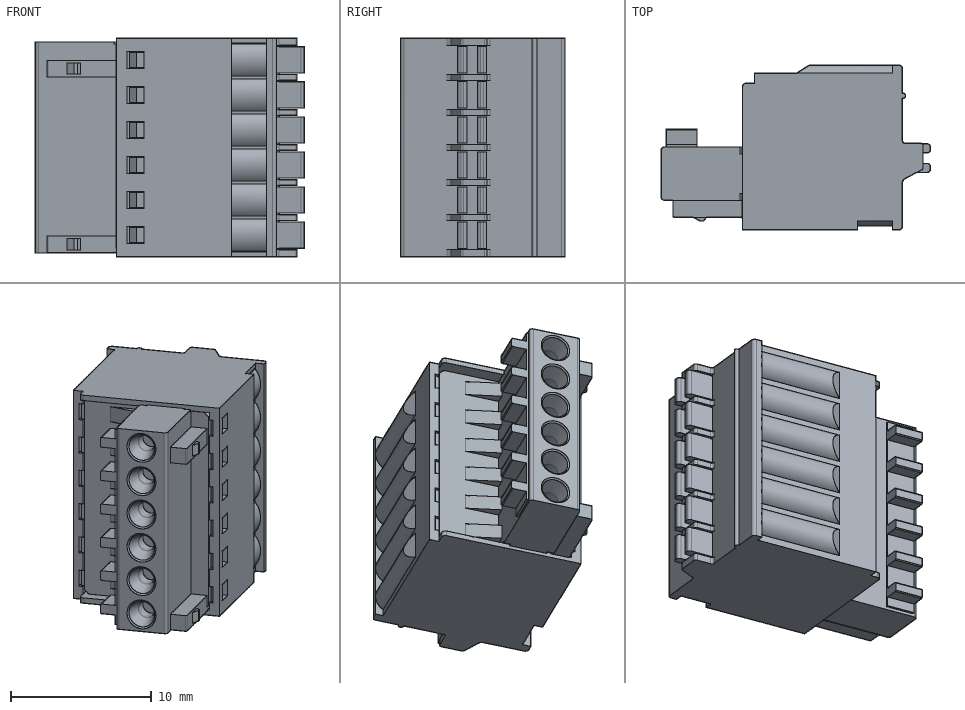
import cadquery as cq
import math


overlap = 0.2

pole_count = 6
pole_pitch = 2.5
length = 15.6
pole_heights = [length / 2 + pole_pitch * (i - (pole_count - 1) / 2) for i in range(pole_count)]

total_x = 19.2
total_y = 11.75
front_x = 5.8
back_x = 17.2
step_x = 6.65
step_y = 10.46
wall_y = 11.17
flange_x = 16.5
edge_radius = 0.27

rib_end_x = 18.68
rib_low_y = 3.55
rib_tip_y = 4.34
rib_high_y = 6.18
rib_low_root_radius = 0.35
rib_high_root_radius = 0.2
rib_tip_radius = 0.2
prong_height = 1.88
prong_gap = 0.1
prong_width = 0.65
prong_low_ys = (4.09, 5.5)
prong_tip_radius = 0.23
bead_y = 9.56
bead_radius = 0.2
bead_reach = 0.23

low_cover_radius = 1.73
high_cover_radius = 1.23
recess_x = 14.02
recess_shelf_y = 0.63
recess_floor_y = 0.7
low_cover_y = 0.27
cover_foot_x = 9.65
cover_crest_x = 10.58
cover_end_margin = 0.36

socket_y0 = 0.75
socket_y1 = 10.45
socket_margin = 0.4
socket_floor_x = 7.78
header_gap = 0.05
header_chamfer = 0.33
header_low_x = 5.76
header_high_x = 6.74

latch_slot_height = 1.2
low_latch_height = 1.05
low_latch_y = 0.4
lead_in_y = 0.48
lead_in_x1 = 6.22
latch_slot_y1 = 10.75
high_latch_y = 10.64
high_latch_setback = 0.1
latch_ramp_x0 = 6.72
latch_ramp_x1 = 7.22
window_x0 = 6.57

plug_y0 = 2.11
plug_y1 = 5.91
plug_margin = 0.27
plug_fillet = 0.23
notch_x = 5.65
notch_width = 0.5
notch_depth = 0.15

entry_y = (plug_y0 + plug_y1) / 2
entry_radius = 1.08
entry_throat_radius = 0.96
entry_bore_radius = 0.61
entry_lip = 0.1
entry_cone_depth = 1.25
entry_bore_depth = 2.3

blade_x0 = 0.36
blade_x1 = 2.57
blade_tip_y = 7.2
blade_height = 0.73
blade_chamfer = 0.08
ridge_height = 0.17
ridge_margin = 0.5
wedge_y1 = 8.43
wedge_height = 1.13
wedge_angle = 15

arm_x0 = 0.85
arm_y0 = 0.9
arm_height = 1.17
arm_centers_z = (0.9, 13.42)
arm_fillet = 0.1
nub_height = 0.8
nub_reach = 0.27
nub_x = (2.27, 2.78, 3.03, 3.25)


def box(x0, x1, y0, y1, z0, z1):
    return cq.Workplane("XY").box(x1 - x0, y1 - y0, z1 - z0, centered=False).translate((x0, y0, z0))


def prism(points, z0, z1):
    return cq.Workplane("XY").workplane(offset=z0).polyline(points).close().extrude(z1 - z0)


def centered_prism(points, z, height):
    return prism(points, z - height / 2, z + height / 2)


def at_each_pole(make):
    shape = make(pole_heights[0])
    for z in pole_heights[1:]:
        shape = shape.union(make(z))
    return shape


def fillet_upright_edges(shape, x, y, radius):
    reach = 0.02
    corner_box = ((x - reach, y - reach, -reach), (x + reach, y + reach, length + reach))
    return shape.edges("|Z").edges(cq.selectors.BoxSelector(*corner_box)).fillet(radius)


def housing_body():
    body = prism(
        [
            (front_x, 0), (back_x, 0), (back_x, total_y), (flange_x, total_y),
            (flange_x, wall_y), (step_x, wall_y), (step_x, step_y), (front_x, step_y),
        ],
        0, length,
    )
    for x, y in ((back_x, 0), (back_x, total_y), (front_x, step_y)):
        body = fillet_upright_edges(body, x, y, edge_radius)
    body = body.union(ribs())
    body = fillet_upright_edges(body, back_x, rib_low_y, rib_low_root_radius)
    return fillet_upright_edges(body, back_x, rib_high_y, rib_high_root_radius)


def cover_cylinder(x0, x1, axis_y, radius, z):
    cylinder = cq.Workplane("YZ").workplane(offset=x0).center(axis_y, z).circle(radius)
    return cylinder.extrude(x1 - x0)


def low_covers():
    axis_y = low_cover_y + low_cover_radius
    covers = at_each_pole(lambda z: cover_cylinder(recess_x, flange_x, axis_y, low_cover_radius, z))
    return covers.intersect(box(recess_x, flange_x, 0, axis_y, 0, length))


def cover_recess():
    shelf = box(recess_x, flange_x, 0, recess_shelf_y, 0, length)
    floor = box(recess_x, flange_x, 0, recess_floor_y, cover_end_margin, length - cover_end_margin)
    return shelf.union(floor)


def high_covers():
    axis_y = total_y - high_cover_radius
    covers = at_each_pole(lambda z: cover_cylinder(cover_foot_x, flange_x, axis_y, high_cover_radius, z))
    envelope = prism(
        [
            (cover_foot_x, wall_y), (cover_crest_x, total_y), (flange_x, total_y),
            (flange_x, axis_y), (cover_foot_x, axis_y),
        ],
        0, length,
    )
    return covers.intersect(envelope)


def rib(z0, z1):
    outline = [
        (flange_x, rib_low_y), (back_x, rib_low_y), (rib_end_x, rib_tip_y),
        (rib_end_x, rib_high_y), (flange_x, rib_high_y),
    ]
    return prism(outline, z0, z1).edges("|Z and >X").fillet(rib_tip_radius)


def ribs():
    clearance = prong_height / 2 + prong_gap
    starts = [0] + [z + clearance for z in pole_heights]
    ends = [z - clearance for z in pole_heights] + [length]
    shape = rib(starts[0], ends[0])
    for z0, z1 in zip(starts[1:], ends[1:]):
        shape = shape.union(rib(z0, z1))
    return shape


def prong_pair(z):
    pair = cq.Workplane("XY")
    for y in prong_low_ys:
        prong = box(back_x - overlap, total_x, y, y + prong_width, z - prong_height / 2, z + prong_height / 2)
        pair = pair.add(prong.edges("|Z and >X").fillet(prong_tip_radius))
    return pair.combine()


def bead():
    center_x = back_x + bead_reach - bead_radius
    return cq.Workplane("XY").center(center_x, bead_y).circle(bead_radius).extrude(length)


def socket():
    opening = box(front_x, socket_floor_x, socket_y0, socket_y1, socket_margin, length - socket_margin)
    mouth = box(front_x, step_x, socket_y1, wall_y, socket_margin, length - socket_margin)
    slots = at_each_pole(
        lambda z: box(
            front_x, socket_floor_x, socket_y1, latch_slot_y1,
            z - latch_slot_height / 2, z + latch_slot_height / 2,
        )
    )
    windows = at_each_pole(
        lambda z: box(
            window_x0, socket_floor_x, 0, socket_y0,
            z - latch_slot_height / 2, z + latch_slot_height / 2,
        )
    )
    lead_in = [(front_x, socket_y0), (front_x, lead_in_y), (lead_in_x1, socket_y0)]
    lead_ins = at_each_pole(lambda z: centered_prism(lead_in, z, latch_slot_height))
    return opening.union(mouth).union(slots).union(windows).union(lead_ins)


def header():
    y0 = socket_y0 + header_gap
    y1 = socket_y1 - header_gap
    block = box(header_low_x, socket_floor_x, y0, y1, socket_margin, length - socket_margin)
    block = block.edges("|X").chamfer(header_chamfer)
    upper_recess = box(header_low_x, header_high_x, plug_y1, socket_y1, 0, length)
    block = block.cut(upper_recess)

    low_latch = [
        (latch_ramp_x0, y0), (latch_ramp_x1, low_latch_y), (socket_floor_x, low_latch_y),
        (socket_floor_x, y0 + overlap), (latch_ramp_x0, y0 + overlap),
    ]
    high_latch_x = header_high_x + high_latch_setback
    high_latch = [
        (high_latch_x, y1 - overlap), (socket_floor_x, y1 - overlap),
        (socket_floor_x, high_latch_y), (high_latch_x, high_latch_y),
    ]
    wedge_reach = (wedge_y1 - plug_y1) * math.tan(math.radians(wedge_angle))
    wedge = [
        (header_high_x + overlap, plug_y1), (header_high_x - wedge_reach, plug_y1),
        (header_high_x, wedge_y1), (header_high_x + overlap, wedge_y1),
    ]
    parts = ((low_latch, low_latch_height), (high_latch, latch_slot_height), (wedge, wedge_height))
    for outline, height in parts:
        block = block.union(at_each_pole(lambda z: centered_prism(outline, z, height)))
    return block


def conductor_entry(z):
    half_section = [
        (0, 0), (0, entry_radius), (entry_lip, entry_throat_radius),
        (entry_cone_depth, entry_bore_radius), (entry_bore_depth, entry_bore_radius), (entry_bore_depth, 0),
    ]
    profile = cq.Workplane("XY").polyline(half_section).close()
    return profile.revolve(360, (0, 0, 0), (1, 0, 0)).translate((0, entry_y, z))


def plug():
    z0 = plug_margin
    z1 = length - plug_margin
    block = box(0, header_high_x, plug_y0, plug_y1, z0, z1)
    block = block.edges("|Z and <X").fillet(plug_fillet)
    for y in (plug_y0, plug_y1 - notch_width):
        for z in (z0, z1 - notch_depth):
            block = block.cut(box(notch_x, front_x, y, y + notch_width, z, z + notch_depth))
    block = block.cut(box(front_x, header_high_x, 0, total_y, z0, z0 + notch_depth))
    block = block.cut(box(front_x, header_high_x, 0, total_y, z1 - notch_depth, z1))
    return block.cut(at_each_pole(conductor_entry))


def blade(z):
    shape = box(
        blade_x0, blade_x1, plug_y1 - overlap, blade_tip_y, z - blade_height / 2, z + blade_height / 2
    )
    return shape.edges("|X and >Y").chamfer(blade_chamfer)


def blades():
    ridge = box(
        blade_x0, blade_x1, plug_y1 - overlap, plug_y1 + ridge_height, ridge_margin, length - ridge_margin
    )
    return at_each_pole(blade).union(ridge)


def locking_arm(z):
    arm = box(arm_x0, header_high_x, arm_y0, plug_y0 + overlap, z - arm_height / 2, z + arm_height / 2)
    arm = arm.edges("|Z and <X and <Y").fillet(arm_fillet)
    nub = [
        (nub_x[0], arm_y0), (nub_x[1], arm_y0 - nub_reach),
        (nub_x[2], arm_y0 - nub_reach), (nub_x[3], arm_y0),
    ]
    return arm.union(centered_prism(nub, z, nub_height))


housing = housing_body().cut(cover_recess()).cut(socket())
housing = housing.union(low_covers()).union(high_covers())
housing = housing.union(at_each_pole(prong_pair)).union(bead())

result = housing.union(header()).union(plug()).union(blades())
for arm_z in arm_centers_z:
    result = result.union(locking_arm(arm_z))